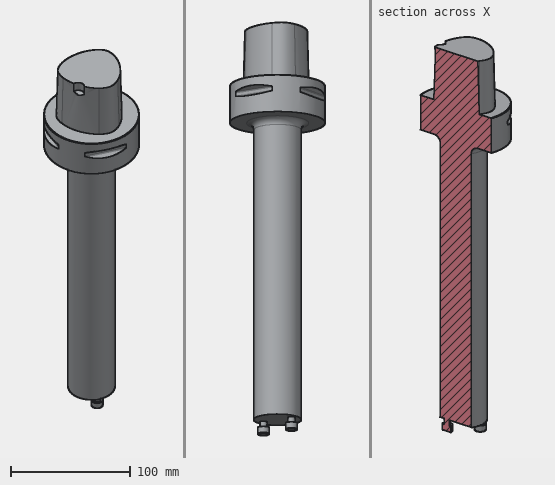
import cadquery as cq
import math

FLANGE_DIAMETER = 80.0
FLANGE_HEIGHT = 32.0
FLANGE_EDGE_CHAMFER = 0.5

SHANK_HEIGHT = 48.0
SHANK_WIDTH = 55.0
SHANK_TAPER = 1 / 20
LOBE_HEIGHT = 2.05
LOBE_COUNT = 3
LOBE_SPACING = 360 / LOBE_COUNT
FIRST_LOBE_ANGLE = 90.0
LOBE_HALF_ANGLE = 34.0
CURVE_POINTS = 9

NOTCH_DIAMETER = 10.0
NOTCH_DEPTH = 8.2
NOTCH_POINT_ANGLE = 118.0
NOTCH_WALL_GAP = 1.4

GROOVE_COUNT = 4
GROOVE_START_ANGLE = 45.0
GROOVE_FLOOR_RADIUS = 35.5
GROOVE_FLOOR_HEIGHT = 3.8
GROOVE_FLANK_ANGLE = 27.0
GROOVE_FLOOR_FILLET = 0.8
GROOVE_DROP = 12.0

BAR_DIAMETER = 40.0
BAR_FILLET = 6.0
TOTAL_HEIGHT = 347.0

SCREW_PROJECTION = 10.8
SCREW_OFFSET = 10.0
SCREW_DIAMETER = 6.0
SCREW_HEAD_DIAMETER = 10.0
SCREW_HEAD_HEIGHT = 6.0
SCREW_HEAD_CHAMFER = 0.7

SCREW_TIP_Z = SHANK_HEIGHT - TOTAL_HEIGHT
BAR_END_Z = SCREW_TIP_Z + SCREW_PROJECTION
SHANK_TOP_WIDTH = SHANK_WIDTH - SHANK_TAPER * SHANK_HEIGHT


def lobed_point(width, z, normal_angle):
    """Point of the lobed curve whose outward normal has the given angle."""
    wave_angle = LOBE_COUNT * (normal_angle - math.radians(FIRST_LOBE_ANGLE))
    reach = width / 2 + LOBE_HEIGHT * math.cos(wave_angle)
    slope = -LOBE_COUNT * LOBE_HEIGHT * math.sin(wave_angle)
    x = reach * math.cos(normal_angle) - slope * math.sin(normal_angle)
    y = reach * math.sin(normal_angle) + slope * math.cos(normal_angle)
    return cq.Vector(x, y, z)


def lobed_edge(width, z, start_degrees, stop_degrees):
    """Stretch of the lobed curve between two normal angles."""
    angles = []
    for index in range(CURVE_POINTS):
        share = index / (CURVE_POINTS - 1)
        angles.append(math.radians(start_degrees + share * (stop_degrees - start_degrees)))
    points = [lobed_point(width, z, angle) for angle in angles]
    end_tangents = [cq.Vector(-math.sin(angle), math.cos(angle), 0) for angle in (angles[0], angles[-1])]
    return cq.Edge.makeSpline(points, tangents=end_tangents)


def lobed_wire(width, z):
    """Closed curve of constant width with three lobes, one of them toward +Y."""
    edges = []
    for index in range(LOBE_COUNT):
        lobe_angle = FIRST_LOBE_ANGLE + index * LOBE_SPACING
        lobe_start = lobe_angle - LOBE_HALF_ANGLE
        lobe_end = lobe_angle + LOBE_HALF_ANGLE
        next_lobe_start = lobe_start + LOBE_SPACING
        edges.append(lobed_edge(width, z, lobe_start, lobe_end))
        edges.append(lobed_edge(width, z, lobe_end, next_lobe_start))
    return cq.Wire.assembleEdges(edges)


def make_shank():
    """Lobed solid narrowing evenly from the flange face to its top."""
    base = lobed_wire(SHANK_WIDTH, 0)
    top = lobed_wire(SHANK_TOP_WIDTH, SHANK_HEIGHT)
    return cq.Workplane(cq.Solid.makeLoft([base, top], True))


def make_notch():
    """Drill-shaped cutter standing partly inside the -Y wall of the shank."""
    radius = NOTCH_DIAMETER / 2
    point_length = radius / math.tan(math.radians(NOTCH_POINT_ANGLE / 2))
    shoulder_z = SHANK_HEIGHT - NOTCH_DEPTH
    wall_y = -(SHANK_TOP_WIDTH / 2 - LOBE_HEIGHT)
    profile = (
        cq.Workplane("XZ")
        .moveTo(0, SHANK_HEIGHT)
        .lineTo(radius, SHANK_HEIGHT)
        .lineTo(radius, shoulder_z)
        .lineTo(0, shoulder_z - point_length)
        .close()
    )
    drill = profile.revolve(360, (0, 0, 0), (0, 1, 0))
    return drill.translate((0, wall_y - NOTCH_WALL_GAP, 0))


def make_flange():
    """Round disc below Z = 0 with a broken upper edge."""
    return (
        cq.Workplane("XY")
        .circle(FLANGE_DIAMETER / 2)
        .extrude(-FLANGE_HEIGHT)
        .faces(">Z")
        .edges()
        .chamfer(FLANGE_EDGE_CHAMFER)
    )


def make_groove(angle):
    """Straight trapezoidal cutter with rounded floor corners, square to the given direction."""
    outer_x = FLANGE_DIAMETER / 2
    half_floor = GROOVE_FLOOR_HEIGHT / 2
    flare = (outer_x - GROOVE_FLOOR_RADIUS) * math.tan(math.radians(GROOVE_FLANK_ANGLE))
    half_mouth = half_floor + flare
    cutter = (
        cq.Workplane("XZ")
        .moveTo(GROOVE_FLOOR_RADIUS, -GROOVE_DROP - half_floor)
        .lineTo(outer_x, -GROOVE_DROP - half_mouth)
        .lineTo(outer_x, -GROOVE_DROP + half_mouth)
        .lineTo(GROOVE_FLOOR_RADIUS, -GROOVE_DROP + half_floor)
        .close()
        .extrude(FLANGE_DIAMETER / 2, both=True)
        .edges("|Y and <X")
        .fillet(GROOVE_FLOOR_FILLET)
    )
    return cutter.rotate((0, 0, 0), (0, 0, 1), angle)


def make_bar():
    """Round bar flaring into the underside of the flange with a concave fillet."""
    radius = BAR_DIAMETER / 2
    flare_radius = radius + BAR_FILLET
    fillet_mid = BAR_FILLET * (1 - math.sqrt(0.5))
    profile = (
        cq.Workplane("XZ")
        .moveTo(0, -FLANGE_HEIGHT)
        .lineTo(flare_radius, -FLANGE_HEIGHT)
        .threePointArc(
            (radius + fillet_mid, -FLANGE_HEIGHT - fillet_mid),
            (radius, -FLANGE_HEIGHT - BAR_FILLET),
        )
        .lineTo(radius, BAR_END_Z)
        .lineTo(0, BAR_END_Z)
        .close()
    )
    return profile.revolve(360, (0, 0, 0), (0, 1, 0))


def make_screw(x, y):
    """Screw standing out of the bar end: plain shaft and chamfered head."""
    head_base_z = SCREW_TIP_Z + SCREW_HEAD_HEIGHT
    head = (
        cq.Workplane("XY", origin=(x, y, SCREW_TIP_Z))
        .circle(SCREW_HEAD_DIAMETER / 2)
        .extrude(SCREW_HEAD_HEIGHT)
        .faces("<Z")
        .edges()
        .chamfer(SCREW_HEAD_CHAMFER)
    )
    shaft = (
        cq.Workplane("XY", origin=(x, y, head_base_z))
        .circle(SCREW_DIAMETER / 2)
        .extrude(BAR_END_Z - head_base_z)
    )
    return head.union(shaft)


shank = make_shank().cut(make_notch())
flange = make_flange()
for index in range(GROOVE_COUNT):
    flange = flange.cut(make_groove(GROOVE_START_ANGLE + index * 360 / GROOVE_COUNT))

result = flange.union(shank).union(make_bar())
for side in (-1, 1):
    result = result.union(make_screw(side * SCREW_OFFSET, -side * SCREW_OFFSET))